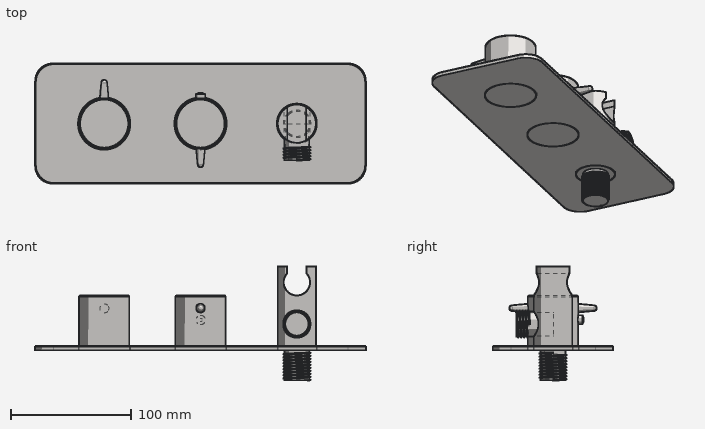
import cadquery as cq


plate_length = 275.0
plate_width = 100.0
plate_thickness = 3.8
plate_corner_radius = 15.0
plate_edge_chamfer = 0.8

fitting_spacing = 80.0

fitting_gap = 0.5

knob_diameter = 42.0
knob_height = 42.0
knob_edge_chamfer = 1.0
knob_radius = knob_diameter / 2

lever_height = 31.4
lever_taper_start = 19.2
lever_reach = 36.3
lever_base_radius = 3.8
lever_tip_radius = 2.5

button_height = 21.7
button_radius = 3.8
button_reach = 25.5
button_cone_length = 1.0
button_flat_radius = 1.5

column_diameter = 32.0
column_height = 66.0
column_radius = column_diameter / 2

cradle_slot_width = 16.0
cradle_diameter = 21.7
cradle_depth = 13.2

spigot_diameter = 21.0
thread_diameter = 22.8
thread_pitch = 2.5
thread_base_width = 1.5
thread_root_depth = 0.3
inlet_length = 24.8
inlet_plain_length = 2.0
inlet_turns = 9
outlet_height = 18.2
outlet_reach = 30.5
outlet_plain_reach = 19.5
outlet_turns = 4.25
outlet_bore_diameter = 19.2
spigot_radius = spigot_diameter / 2


def make_plate():
    """Rounded rectangle with a chamfered top edge and a clearance hole for each fitting."""
    plate = (
        cq.Workplane("XY", origin=(0, 0, -plate_thickness))
        .rect(plate_length, plate_width)
        .extrude(plate_thickness)
        .edges("|Z")
        .fillet(plate_corner_radius)
        .faces(">Z")
        .edges()
        .chamfer(plate_edge_chamfer)
    )
    for x, fitting_radius in [
        (-fitting_spacing, knob_radius),
        (0, knob_radius),
        (fitting_spacing, column_radius),
    ]:
        hole = (
            cq.Workplane("XY", origin=(x, 0, -plate_thickness))
            .circle(fitting_radius + fitting_gap)
            .extrude(plate_thickness)
        )
        plate = plate.cut(hole)
    return plate


def make_lever():
    """Tapered round rod with a hemispherical tip, lying along +Y from the knob's axis."""
    tip_center = lever_reach - lever_tip_radius
    tip_diagonal = lever_tip_radius / 2**0.5
    return (
        cq.Workplane("XY")
        .lineTo(lever_base_radius, 0)
        .lineTo(lever_base_radius, lever_taper_start)
        .lineTo(lever_tip_radius, tip_center)
        .threePointArc((tip_diagonal, tip_center + tip_diagonal), (0, lever_reach))
        .close()
        .revolve(360, (0, 0, 0), (0, 1, 0))
        .translate((0, 0, lever_height))
    )


def make_button():
    """Short round button with a coned end, lying along +Y from the knob's axis."""
    return (
        cq.Workplane("XY")
        .lineTo(button_radius, 0)
        .lineTo(button_radius, button_reach - button_cone_length)
        .lineTo(button_flat_radius, button_reach)
        .lineTo(0, button_reach)
        .close()
        .revolve(360, (0, 0, 0), (0, 1, 0))
        .translate((0, 0, button_height))
    )


def make_knob(x, lever_angle, has_button):
    """Round knob at the given X, its lever turned from +Y by the given angle about Z."""
    knob = (
        cq.Workplane("XY", origin=(0, 0, -plate_thickness))
        .circle(knob_radius)
        .extrude(plate_thickness + knob_height)
        .faces(">Z")
        .chamfer(knob_edge_chamfer)
    )
    knob = knob.union(make_lever().rotate((0, 0, 0), (0, 0, 1), lever_angle))
    if has_button:
        knob = knob.union(make_button())
    return knob.translate((x, 0, 0))


def make_spigot(length, thread_start, turns):
    """Threaded rod along +Z from the origin; its helical ridge starts at thread_start on the +X side."""
    root_radius = spigot_radius - thread_root_depth
    helix = cq.Wire.makeHelix(thread_pitch, turns * thread_pitch, spigot_radius)
    ridge = (
        cq.Workplane("XZ")
        .moveTo(root_radius, -thread_base_width / 2)
        .lineTo(thread_diameter / 2, 0)
        .lineTo(root_radius, thread_base_width / 2)
        .close()
        .sweep(cq.Workplane(obj=helix), isFrenet=True)
        .translate((0, 0, thread_start))
    )
    return cq.Workplane("XY").circle(spigot_radius).extrude(length).union(ridge)


def make_cradle():
    """Keyhole cutter along Y: a round seat opened upward by a narrower slot."""
    seat = (
        cq.Workplane("XZ", origin=(0, 0, column_height - cradle_depth))
        .circle(cradle_diameter / 2)
        .extrude(column_radius, both=True)
    )
    slot = (
        cq.Workplane("XY", origin=(0, 0, column_height - cradle_depth))
        .rect(cradle_slot_width, column_diameter)
        .extrude(cradle_depth)
    )
    return seat.union(slot)


def make_shower_outlet():
    """Column with a cradle on top, a threaded inlet below and a threaded, bored outlet facing -Y."""
    column = (
        cq.Workplane("XY", origin=(0, 0, -plate_thickness))
        .circle(column_radius)
        .extrude(plate_thickness + column_height)
        .cut(make_cradle())
    )
    inlet = make_spigot(
        plate_thickness + inlet_length,
        plate_thickness + inlet_plain_length,
        inlet_turns,
    ).rotate((0, 0, 0), (1, 0, 0), 180)
    outlet = (
        make_spigot(outlet_reach, outlet_plain_reach, outlet_turns)
        .rotate((0, 0, 0), (1, 0, 0), 90)
        .translate((0, 0, outlet_height))
    )
    bore = (
        cq.Workplane("XZ", origin=(0, 0, outlet_height))
        .circle(outlet_bore_diameter / 2)
        .extrude(2 * outlet_reach)
    )
    body = column.union(inlet).union(outlet).cut(bore)
    return body.translate((fitting_spacing, 0, 0))


plate = make_plate()
plain_knob = make_knob(-fitting_spacing, 0, False)
button_knob = make_knob(0, 180, True)
shower_outlet = make_shower_outlet()

result = cq.Compound.makeCompound([
    plate.val(),
    plain_knob.val(),
    button_knob.val(),
    shower_outlet.val(),
])